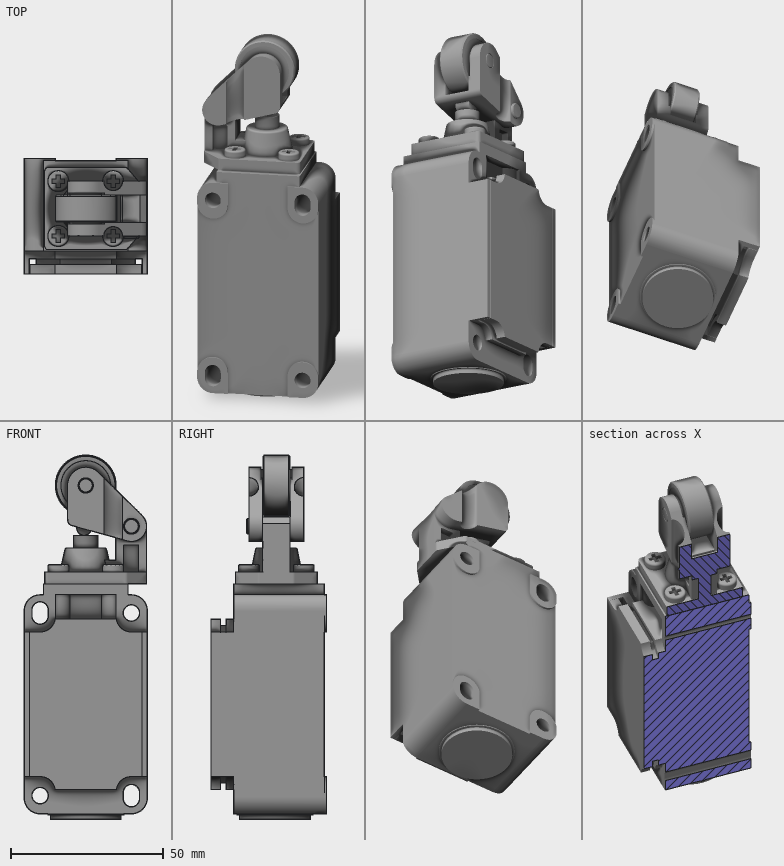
import cadquery as cq
import math

WIDTH = 40.5
HEIGHT = 72.0
FRONT_Y = -14.0
BACK_Y = 15.8
COVER_Y = -21.5
CORNER_RADIUS = 5.25
EAR_WIDTH = 10.25
EAR_HEIGHT = 12.25
EAR_CORNER_RADIUS = 5.0
BACK_PAD_THICKNESS = 0.7
HOLE_SPACING_X = 30.0
HOLE_SPACING_Z = 60.0
HOLE_DIAMETER = 5.3
SLOT_LENGTH = 7.3
COLLAR_WIDTH = 27.8
COLLAR_HEIGHT = 3.6
COVER_MARGIN = 8.0
COVER_WIDTH = 36.8
COVER_SIDE_GAP = 0.1
GROOVE_DEPTH = 2.1
GROOVE_FRONT_Y = -18.3
GROOVE_BACK_Y = -16.5
POCKET_BACK_Y = -10.4
BOSS_DIAMETER = 8.0
ENTRY_CENTER_Y = -0.5
ENTRY_DIAMETER = 25.0
ENTRY_TIP_DIAMETER = 23.3
ENTRY_RIM = 0.3
ENTRY_HEIGHT = 1.8

HEAD_Z = HEIGHT + COLLAR_HEIGHT
PLATE_WIDTH = 27.0
PLATE_HEIGHT = 3.9
PLATE_TOP_Z = HEAD_Z + PLATE_HEIGHT
PLATE_CORNER_RADIUS = 1.2
FOOT_END_X = 20.0
FOOT_END_WIDTH = 11.6
SCREW_SPACING = 18.0
SCREW_DIAMETER = 6.9
SCREW_HEIGHT = 2.4
SCREW_EDGE_RADIUS = 0.6
CROSS_LENGTH = 4.2
CROSS_WIDTH = 1.4
CROSS_DEPTH = 1.4
GUIDE_BASE_DIAMETER = 17.0
GUIDE_TOP_DIAMETER = 13.5
GUIDE_HEIGHT = 7.9
GUIDE_EDGE_RADIUS = 0.7
PLUNGER_DIAMETER = 8.1
PLUNGER_TOP_Z = 91.5

ROLLER_Z = 107.9
ROLLER_DIAMETER = 20.0
ROLLER_WIDTH = 8.8
ROLLER_EDGE_CHAMFER = 0.4
ROLLER_FACE_DIAMETER = 16.3
ROLLER_FACE_DEPTH = 0.2
HUB_DIAMETER = 10.5
ROLLER_PIN_DIAMETER = 5.0
PIVOT_X = 15.0
PIVOT_Z = 94.5
PIVOT_PIN_DIAMETER = 5.21
PIVOT_PIN_PROTRUSION = 0.75
PIN_CHAMFER = 0.35
LEVER_WIDTH = 18.0
LEVER_NOSE_RADIUS = 6.0
LEVER_PIVOT_RADIUS = 5.0
LEVER_TOE_Z = 95.1
LEVER_TOE_RADIUS = 2.0
LEVER_SLOT_WIDTH = 9.0
LEVER_SLOT_FLOOR_Z = 96.8
LEVER_WEB_END_X = 10.3
ARM_RELIEF = 0.6
ARM_RELIEF_REACH = 6.1
ACCESS_DIAMETER = 6.15
NUB_RADIUS = 2.45
NUB_WIDTH = 5.3
NUB_X = -0.55
BRACKET_X = 9.8
BRACKET_STEP_X = 6.2
BRACKET_STEP_Z = 83.4
BRACKET_TOP_X = 11.35
BRACKET_SHOULDER_Z = 93.0
BRACKET_TOP_Z = 97.6
BRACKET_INNER_CHAMFER = 0.75
BRACKET_OUTER_CHAMFER = 2.25
BRACKET_SLOT_X = (12.4, 17.4)
BRACKET_SLOT_TOP_Z = 88.4
BRACKET_SLOT_DEPTH = 2.2
BRACKET_SLOT_RADIUS = 0.4


def block(x_range, y_range, z_range):
    """Box given by its two limits along each axis."""
    size = [high - low for low, high in (x_range, y_range, z_range)]
    return cq.Workplane("XY").box(*size, centered=False).translate((x_range[0], y_range[0], z_range[0]))


def cylinder_along_y(diameter, x, z, y_range):
    """Round bar parallel to Y between two Y limits."""
    bar = cq.Workplane("XZ").circle(diameter / 2).extrude(y_range[0] - y_range[1])
    return bar.translate((x, y_range[0], z))


def ear_regions(inset, y_range):
    """Four corner blocks with one rounded corner, widened by the inset."""
    reach = WIDTH / 2 - EAR_WIDTH - inset
    level = HEIGHT / 2 - EAR_HEIGHT - inset
    corner = block((reach, WIDTH), y_range, (level, HEIGHT))
    corner = corner.edges("|Y").edges("<X").edges("<Z").fillet(EAR_CORNER_RADIUS + inset)
    upper = corner.union(corner.mirror("YZ"))
    return upper.union(upper.mirror("XY")).translate((0, 0, HEIGHT / 2))


def front_block(width, inset, y_range):
    """Slab of the raised front with its corners cut away for the ears."""
    z_range = (COVER_MARGIN + inset, HEIGHT - COVER_MARGIN - inset)
    return block((-width / 2, width / 2), y_range, z_range).cut(ear_regions(inset, y_range))


def cover_clearance():
    """Ring groove behind the cover and the narrow gaps beside the cover."""
    y_range = (GROOVE_FRONT_Y, GROOVE_BACK_Y)
    half_channel = COVER_WIDTH / 2 + COVER_SIDE_GAP
    channel = block((-half_channel, half_channel), (COVER_Y, GROOVE_BACK_Y), (0, HEIGHT))
    neck = front_block(COVER_WIDTH - 2 * GROOVE_DEPTH, GROOVE_DEPTH, y_range)
    cover = front_block(COVER_WIDTH, 0, (COVER_Y, GROOVE_FRONT_Y))
    return channel.cut(neck).cut(cover)


def raised_front():
    """Cover on its neck, with side walls flush with its front face."""
    return front_block(WIDTH, 0, (COVER_Y, FRONT_Y)).cut(cover_clearance())


def back_pads():
    """Shallow rounded pads behind the four ears."""
    y_range = (BACK_Y, BACK_Y + BACK_PAD_THICKNESS)
    strips = cq.Workplane("XY")
    for z_low in (0, HEIGHT - EAR_HEIGHT):
        strip = block((-WIDTH / 2, WIDTH / 2), y_range, (z_low, z_low + EAR_HEIGHT))
        strips = strips.union(strip.edges("|Y").fillet(CORNER_RADIUS))
    return strips.intersect(ear_regions(0, y_range))


def mounting_holes():
    """Two round holes and two slots on opposite diagonals."""
    length = BACK_Y - COVER_Y + BACK_PAD_THICKNESS
    holes = cq.Workplane("XY")
    for side in (-1, 1):
        for end in (-1, 1):
            sketch = cq.Workplane("XZ")
            if side == end:
                sketch = sketch.circle(HOLE_DIAMETER / 2)
            else:
                sketch = sketch.slot2D(SLOT_LENGTH, HOLE_DIAMETER, 90)
            x = side * HOLE_SPACING_X / 2
            z = HEIGHT / 2 + end * HOLE_SPACING_Z / 2
            holes = holes.union(sketch.extrude(-length).translate((x, COVER_Y, z)))
    return holes


def front_pocket():
    """Pocket between the upper ears, leaving the two screw bosses standing."""
    half_width = WIDTH / 2 - EAR_WIDTH
    z_range = (HEIGHT - COVER_MARGIN, HEIGHT)
    pocket = block((-half_width, half_width), (FRONT_Y, POCKET_BACK_Y), z_range)
    bosses = (
        cq.Workplane("XY")
        .pushPoints([(side * SCREW_SPACING / 2, -SCREW_SPACING / 2) for side in (-1, 1)])
        .circle(BOSS_DIAMETER / 2)
        .extrude(HEIGHT)
    )
    return pocket.cut(bosses)


def cable_entry():
    """Rimmed, tapered disc under the housing."""
    disc = cq.Workplane("XY").circle(ENTRY_DIAMETER / 2).extrude(-ENTRY_RIM)
    tip = cq.Workplane("XY").circle(ENTRY_TIP_DIAMETER / 2).extrude(-ENTRY_HEIGHT)
    return disc.union(tip).translate((0, ENTRY_CENTER_Y, 0))


def make_housing():
    body = block((-WIDTH / 2, WIDTH / 2), (FRONT_Y, BACK_Y), (0, HEIGHT))
    body = body.edges("|Y").fillet(CORNER_RADIUS)
    collar = block((-COLLAR_WIDTH / 2, COLLAR_WIDTH / 2), (FRONT_Y, BACK_Y), (HEIGHT / 2, HEAD_Z))
    body = body.union(collar).union(raised_front()).union(back_pads()).union(cable_entry())
    return body.cut(front_pocket()).cut(mounting_holes())


def head_plate():
    """Square plate tapering toward +X into the foot under the lever bracket."""
    half = PLATE_WIDTH / 2
    half_foot = FOOT_END_WIDTH / 2
    return (
        cq.Workplane("XY", origin=(0, 0, HEAD_Z))
        .polyline([
            (-half, -half), (half, -half), (FOOT_END_X, -half_foot),
            (FOOT_END_X, half_foot), (half, half), (-half, half),
        ])
        .close()
        .extrude(PLATE_HEIGHT)
        .edges("|Z").fillet(PLATE_CORNER_RADIUS)
    )


def screw_head():
    """Cross-recessed cheese head resting on Z = 0."""
    head = cq.Workplane("XY").circle(SCREW_DIAMETER / 2).extrude(SCREW_HEIGHT)
    head = head.faces(">Z").edges().fillet(SCREW_EDGE_RADIUS)
    recess_top = cq.Workplane("XY", origin=(0, 0, SCREW_HEIGHT))
    for length, width in ((CROSS_LENGTH, CROSS_WIDTH), (CROSS_WIDTH, CROSS_LENGTH)):
        head = head.cut(recess_top.rect(length, width).extrude(-CROSS_DEPTH))
    return head


def plunger_and_guide():
    """Conical guide with the plunger rising from it."""
    guide = (
        cq.Workplane("XY", origin=(0, 0, PLATE_TOP_Z))
        .circle(GUIDE_BASE_DIAMETER / 2)
        .workplane(offset=GUIDE_HEIGHT)
        .circle(GUIDE_TOP_DIAMETER / 2)
        .loft()
        .faces(">Z").edges().fillet(GUIDE_EDGE_RADIUS)
    )
    plunger = cq.Workplane("XY", origin=(0, 0, PLATE_TOP_Z)).circle(PLUNGER_DIAMETER / 2)
    return guide.union(plunger.extrude(PLUNGER_TOP_Z - PLATE_TOP_Z))


def pivot_bracket():
    """Post carrying the lever pivot, with a recess in each broad face."""
    half = LEVER_SLOT_WIDTH / 2
    post = (
        cq.Workplane("XZ")
        .moveTo(BRACKET_STEP_X, HEAD_Z)
        .lineTo(BRACKET_STEP_X, BRACKET_STEP_Z)
        .lineTo(BRACKET_X, BRACKET_STEP_Z)
        .lineTo(BRACKET_X, BRACKET_SHOULDER_Z)
        .lineTo(BRACKET_TOP_X, BRACKET_SHOULDER_Z)
        .lineTo(BRACKET_TOP_X, BRACKET_TOP_Z)
        .lineTo(FOOT_END_X, BRACKET_TOP_Z)
        .lineTo(FOOT_END_X, HEAD_Z)
        .close()
        .extrude(half, both=True)
    )
    post = post.edges("|Y").edges(">Z").edges("<X").chamfer(BRACKET_INNER_CHAMFER)
    post = post.edges("|Y").edges(">Z").edges(">X").chamfer(BRACKET_OUTER_CHAMFER)
    recess = block(BRACKET_SLOT_X, (-half, BRACKET_SLOT_DEPTH - half), (PLATE_TOP_Z, BRACKET_SLOT_TOP_Z))
    recess = recess.edges("|Y").edges(">Z").fillet(BRACKET_SLOT_RADIUS)
    return post.cut(recess).cut(recess.mirror("XZ"))


def lever_profile():
    """Side outline: nose arc about the roller, pivot arc, straight flanks."""
    drop = ROLLER_Z - PIVOT_Z
    spread = LEVER_NOSE_RADIUS - LEVER_PIVOT_RADIUS
    upper_normal = math.atan2(-drop, PIVOT_X) + math.acos(spread / math.hypot(PIVOT_X, drop))

    toe_x = -LEVER_NOSE_RADIUS
    toe_dx = toe_x - PIVOT_X
    toe_dz = LEVER_TOE_Z - PIVOT_Z
    lower_normal = math.atan2(toe_dz, toe_dx) + math.acos(LEVER_PIVOT_RADIUS / math.hypot(toe_dx, toe_dz))

    def on_nose(angle):
        return (LEVER_NOSE_RADIUS * math.cos(angle), ROLLER_Z + LEVER_NOSE_RADIUS * math.sin(angle))

    def on_pivot(angle):
        return (PIVOT_X + LEVER_PIVOT_RADIUS * math.cos(angle), PIVOT_Z + LEVER_PIVOT_RADIUS * math.sin(angle))

    pivot_middle = (upper_normal + lower_normal - 2 * math.pi) / 2
    return (
        cq.Workplane("XZ")
        .moveTo(toe_x, LEVER_TOE_Z)
        .lineTo(toe_x, ROLLER_Z)
        .threePointArc(on_nose((math.pi + upper_normal) / 2), on_nose(upper_normal))
        .lineTo(*on_pivot(upper_normal))
        .threePointArc(on_pivot(pivot_middle), on_pivot(lower_normal))
        .close()
    )


def lever():
    """Forked lever: roller slot, reliefs beside the hub, screwdriver access."""
    half = LEVER_WIDTH / 2
    half_slot = LEVER_SLOT_WIDTH / 2
    body = lever_profile().extrude(half, both=True)
    body = body.edges("|Y").edges("<X").edges("<Z").fillet(LEVER_TOE_RADIUS)
    slot_z = (LEVER_SLOT_FLOOR_Z, ROLLER_Z + ROLLER_DIAMETER)
    body = body.cut(block((-ROLLER_DIAMETER, FOOT_END_X), (-half_slot, half_slot), slot_z))
    open_x = (LEVER_WEB_END_X, FOOT_END_X)
    body = body.cut(block(open_x, (-half_slot, half_slot), (PLATE_TOP_Z, ROLLER_Z)))
    half_relief = half_slot + ARM_RELIEF
    relief_z = (ROLLER_Z - ARM_RELIEF_REACH, ROLLER_Z + ROLLER_DIAMETER)
    body = body.cut(block((-ROLLER_DIAMETER, ARM_RELIEF_REACH), (-half_relief, half_relief), relief_z))
    for side in (-1, 1):
        access = cq.Workplane("XY").center(SCREW_SPACING / 2, side * SCREW_SPACING / 2)
        body = body.cut(access.circle(ACCESS_DIAMETER / 2).extrude(ROLLER_Z + ROLLER_DIAMETER))
    nub_z = PLUNGER_TOP_Z + NUB_RADIUS
    nub = cylinder_along_y(2 * NUB_RADIUS, NUB_X, nub_z, (-NUB_WIDTH / 2, NUB_WIDTH / 2))
    return body.union(nub)


def roller():
    """Roller with shallow face recesses and a hub filling the fork."""
    half = ROLLER_WIDTH / 2
    wheel = cylinder_along_y(ROLLER_DIAMETER, 0, ROLLER_Z, (-half, half))
    wheel = wheel.edges("%CIRCLE").chamfer(ROLLER_EDGE_CHAMFER)
    recess = cylinder_along_y(ROLLER_FACE_DIAMETER, 0, ROLLER_Z, (-half, ROLLER_FACE_DEPTH - half))
    hub_reach = LEVER_SLOT_WIDTH / 2 + ARM_RELIEF
    hub = cylinder_along_y(HUB_DIAMETER, 0, ROLLER_Z, (-hub_reach, hub_reach))
    return wheel.cut(recess).cut(recess.mirror("XZ")).union(hub)


def roller_pin_groove():
    """Ring groove around the chamfered end of the flush roller pin."""
    front = -LEVER_WIDTH / 2
    y_range = (front, front + PIN_CHAMFER)
    bore = cylinder_along_y(ROLLER_PIN_DIAMETER, 0, ROLLER_Z, y_range)
    pin_end = cq.Workplane("XZ", origin=(0, front, ROLLER_Z)).circle(ROLLER_PIN_DIAMETER / 2 - PIN_CHAMFER)
    pin_end = pin_end.workplane(offset=-PIN_CHAMFER).circle(ROLLER_PIN_DIAMETER / 2).loft()
    return bore.cut(pin_end)


def pivot_pin_head():
    """Chamfered end of the pivot pin, proud of the front arm."""
    front = -LEVER_WIDTH / 2
    pin = cylinder_along_y(PIVOT_PIN_DIAMETER, PIVOT_X, PIVOT_Z, (front - PIVOT_PIN_PROTRUSION, 0))
    return pin.faces("<Y").edges().chamfer(PIN_CHAMFER)


def make_head():
    head = head_plate().union(plunger_and_guide()).union(pivot_bracket())
    head = head.union(lever()).union(roller()).union(pivot_pin_head()).cut(roller_pin_groove())
    for x_side in (-1, 1):
        for y_side in (-1, 1):
            place = (x_side * SCREW_SPACING / 2, y_side * SCREW_SPACING / 2, PLATE_TOP_Z)
            head = head.union(screw_head().translate(place))
    return head


housing = make_housing()
head = make_head()

result = cq.Compound.makeCompound([housing.solids().val(), head.solids().val()])